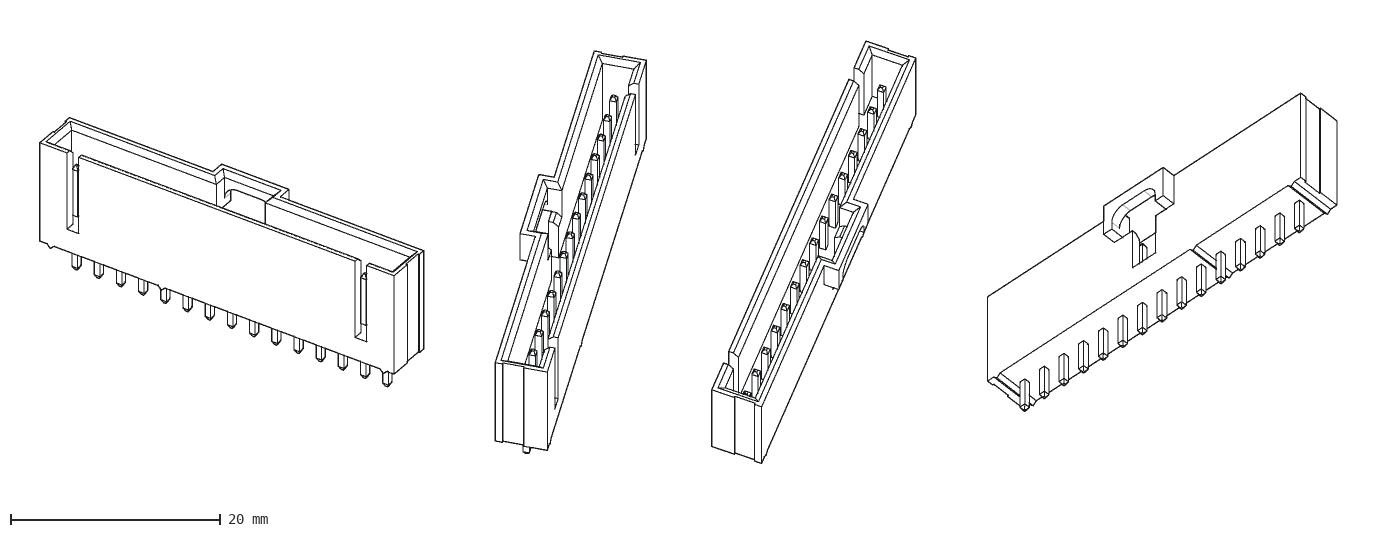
import cadquery as cq


length = 40.55
depth = 5.1
height = 11.35
floor_height = 2.55
end_wall = 0.95
long_wall = 1.0
mouth_chamfer = 0.53

key_length = 7.7
key_bulge = 1.5
key_height = 3.8
key_wall = 1.1
key_side_wall = 1.05
key_lintel = 1.5
lintel_fillet = 1.4

back_slot_length = 3.0

slit_width = 1.35
slit_end_offset = 3.12

groove_depth = 0.14
groove_start = 2.3
groove_width = 2.05

pin_count = 15
pin_row_length = 35.57
pitch = pin_row_length / (pin_count - 1)
pin_width = 0.65
pin_y = 2.6
pin_below = 3.77
pin_above_floor = 5.68
pin_taper = 0.2
tip_height = 0.4

rib_height = 0.4
rib_pitch_steps = [-7.5, -2.5, 7.5]

rim_back = depth + key_bulge
key_base = height - key_height
cavity_back = depth - long_wall


def block(x_size, y_start, y_end, z_start, z_end):
    """Box centred on X = 0, given by its Y and Z limits."""
    base = cq.Workplane("XY", origin=(0, (y_start + y_end) / 2, z_start))
    return base.rect(x_size, y_end - y_start).extrude(z_end - z_start)


def flared_pocket(x_size, y_start, y_end, z_start, z_top):
    """Box pocket whose upper edge widens at 45 degrees to meet z_top."""
    straight = block(x_size, y_start, y_end, z_start, z_top)
    flare = (
        cq.Workplane("XY", origin=(0, (y_start + y_end) / 2, z_top))
        .rect(x_size + 2 * mouth_chamfer, y_end - y_start + 2 * mouth_chamfer)
        .workplane(offset=-mouth_chamfer)
        .rect(x_size, y_end - y_start)
        .loft(ruled=True)
    )
    return straight.union(flare)


def make_housing():
    housing = block(length, 0, depth, 0, height)
    housing = housing.union(block(key_length, cavity_back, rim_back, key_base, height))

    cavity_length = length - 2 * end_wall
    housing = housing.cut(flared_pocket(cavity_length, long_wall, cavity_back, floor_height, height))

    key_inside = key_length - 2 * key_side_wall
    housing = housing.cut(flared_pocket(key_inside, long_wall, rim_back - key_wall, key_base, height))

    lowered_edge = (
        cq.Workplane("YZ")
        .polyline([
            (cavity_back, key_base),
            (cavity_back + mouth_chamfer, key_base),
            (cavity_back, key_base - mouth_chamfer),
        ])
        .close()
        .extrude(key_inside / 2, both=True)
    )
    housing = housing.cut(lowered_edge)

    opening = block(key_inside, depth, rim_back, key_base, height - key_lintel)
    opening = opening.edges("|Y and >Z").fillet(lintel_fillet)
    housing = housing.cut(opening)

    return housing.cut(block(back_slot_length, cavity_back, depth, floor_height, key_base))


def make_slits():
    slit_x = length / 2 - slit_end_offset - slit_width / 2
    slit = block(slit_width, 0, long_wall + mouth_chamfer, floor_height, height)
    return slit.translate((-slit_x, 0, 0)).union(slit.translate((slit_x, 0, 0)))


def make_end_grooves():
    groove = block(2 * groove_depth, groove_start, groove_start + groove_width, 0, height)
    return groove.translate((-length / 2, 0, 0)).union(groove.translate((length / 2, 0, 0)))


def make_rib(x):
    return (
        cq.Workplane("XZ")
        .polyline([(x - rib_height, 0), (x + rib_height, 0), (x, -rib_height)])
        .close()
        .extrude(-depth)
    )


def make_pin(x):
    """Square pin tapered to a blunt point at both ends."""
    bottom = -pin_below
    top = floor_height + pin_above_floor
    tip_width = pin_width - 2 * pin_taper
    shank_bottom = bottom + tip_height
    shank_top = top - tip_height
    shank = cq.Workplane("XY", origin=(x, pin_y, shank_bottom)).rect(pin_width, pin_width)
    pin = shank.extrude(shank_top - shank_bottom)
    for start, rise in ((shank_bottom, -tip_height), (shank_top, tip_height)):
        tip = (
            cq.Workplane("XY", origin=(x, pin_y, start))
            .rect(pin_width, pin_width)
            .workplane(offset=rise)
            .rect(tip_width, tip_width)
            .loft(ruled=True)
        )
        pin = pin.union(tip)
    return pin


result = make_housing().cut(make_slits()).cut(make_end_grooves())
for step in rib_pitch_steps:
    result = result.union(make_rib(step * pitch))
for index in range(pin_count):
    result = result.union(make_pin((index - (pin_count - 1) / 2) * pitch))